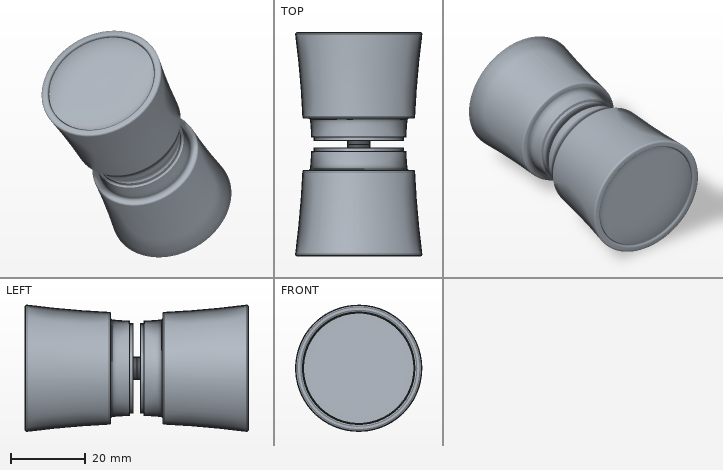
import cadquery as cq

END_Y = 30.0

GRIP_START_Y = 7.0
GRIP_SMALL_RADIUS = 15.0
GRIP_LARGE_RADIUS = 17.03
GRIP_HOLLOW = 0.25
GRIP_EDGE_FILLET = 0.5

NECK_START_Y = 2.0
NECK_END_RADIUS = 12.7
NECK_ROOT_RADIUS = 13.05
NECK_HOLLOW = 0.08
NECK_ROOT_FILLET = 0.35

RECESS_RADIUS = 15.1
RECESS_DEPTH = 1.5
RECESS_RIM_FILLET = 0.5
CAP_RADIUS = 14.85
CAP_SETBACK = 0.5

WASHER_START_Y = 1.0
WASHER_RADIUS = 12.0
STUD_RADIUS = 3.0

EDGE_MARGIN = 0.05


def disc(radius, start_y, end_y):
    """A cylinder along +Y between two distances from the middle plane."""
    return cq.Workplane("XZ", origin=(0, start_y, 0)).circle(radius).extrude(start_y - end_y)


def ring_edge(radius, y):
    """Selector for the circular edge of the given radius at one distance along Y."""
    low_y = y - EDGE_MARGIN
    high_y = y + EDGE_MARGIN
    outer = radius + EDGE_MARGIN
    inner = radius - EDGE_MARGIN
    within_outer = cq.selectors.BoxSelector((-outer, low_y, -outer), (outer, high_y, outer), True)
    within_inner = cq.selectors.BoxSelector((-inner, low_y, -inner), (inner, high_y, inner), True)
    return within_outer - within_inner


def make_knob():
    """Grip and neck turned about Y in one piece, with the cap recess in the outer end."""
    neck_middle = (
        (NECK_END_RADIUS + NECK_ROOT_RADIUS) / 2 - NECK_HOLLOW,
        (NECK_START_Y + GRIP_START_Y) / 2,
    )
    grip_middle = (
        (GRIP_SMALL_RADIUS + GRIP_LARGE_RADIUS) / 2 - GRIP_HOLLOW,
        (GRIP_START_Y + END_Y) / 2,
    )
    recess_floor_y = END_Y - RECESS_DEPTH
    body = (
        cq.Workplane("XY")
        .moveTo(0, NECK_START_Y)
        .lineTo(NECK_END_RADIUS, NECK_START_Y)
        .threePointArc(neck_middle, (NECK_ROOT_RADIUS, GRIP_START_Y))
        .lineTo(GRIP_SMALL_RADIUS, GRIP_START_Y)
        .threePointArc(grip_middle, (GRIP_LARGE_RADIUS, END_Y))
        .lineTo(RECESS_RADIUS, END_Y)
        .lineTo(RECESS_RADIUS, recess_floor_y)
        .lineTo(0, recess_floor_y)
        .close()
        .revolve(360, (0, 0), (0, 1))
    )
    body = body.edges(ring_edge(GRIP_SMALL_RADIUS, GRIP_START_Y)).fillet(GRIP_EDGE_FILLET)
    body = body.edges(ring_edge(GRIP_LARGE_RADIUS, END_Y)).fillet(GRIP_EDGE_FILLET)
    body = body.edges(ring_edge(RECESS_RADIUS, END_Y)).fillet(RECESS_RIM_FILLET)
    return body.edges(ring_edge(NECK_ROOT_RADIUS, GRIP_START_Y)).fillet(NECK_ROOT_FILLET)


def make_cap():
    return disc(CAP_RADIUS, END_Y - RECESS_DEPTH, END_Y - CAP_SETBACK)


def make_washer():
    return disc(WASHER_RADIUS, WASHER_START_Y, NECK_START_Y).cut(make_stud())


def make_stud():
    return disc(STUD_RADIUS, 0, NECK_START_Y)


half = [make_knob(), make_cap(), make_washer(), make_stud()]
bodies = []
for body in half:
    bodies.append(body.val())
    bodies.append(body.mirror("XZ").val())

result = cq.Compound.makeCompound(bodies)